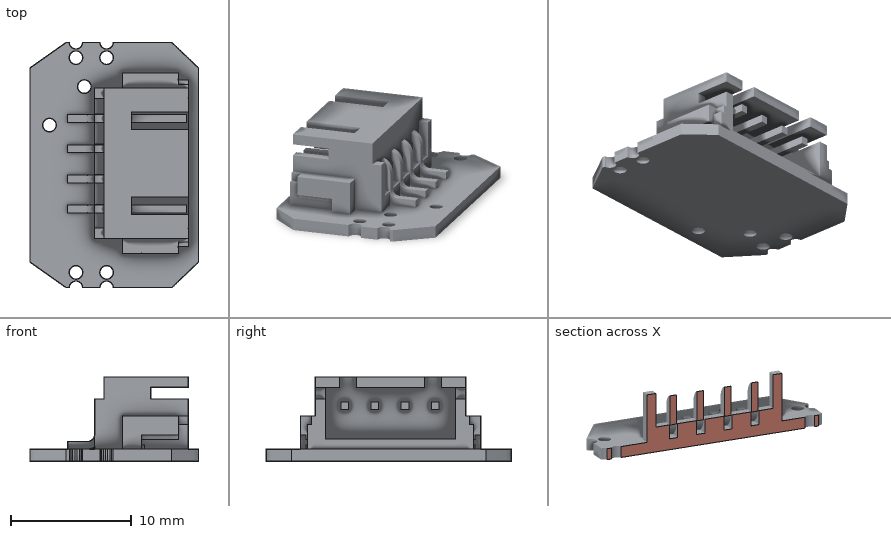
import cadquery as cq

BOARD_LENGTH = 13.97
BOARD_WIDTH = 20.34
BOARD_THICKNESS = 1.0
CORNER_CUT_Y = 2.12
REAR_CORNER_CUT_X = 3.0
FRONT_CORNER_CUT_X = 2.22

HOLE_DIAMETER = 1.1
NOTCH_SIDES = 18
HOLE_SPACING = 1.27
HOLE_COLUMNS_X = (-3.175, -0.635)
SENSE_HOLES = ((-2.48, 6.5), (-5.37, 3.31))

CENTER_Y = 0.15
HOUSING_WIDTH = 12.5
HOUSING_REAR_X = -1.63
WALL_REAR_X = -0.85
HOUSING_FRONT_X = 6.15
HOUSING_TOP_Z = 7.0
POST_TOP_Z = 5.17
POST_WIDTH = 0.87
LEDGE_TOP_Z = 2.22

SIDE_WALL = 0.85
ROOF_THICKNESS = 0.87
FLOOR_THICKNESS = 0.85
CAVITY_REAR_X = 1.42

WINDOW_REAR_X = 3.03
ROOF_SLOT_WIDTH = 1.43
ROOF_SLOT_OFFSET_Y = 3.52

TAB_REAR_X = 0.67
TAB_LEG_END_X = 2.26
TAB_FRONT_X = 5.32
TAB_TOP_Z = 3.76
TAB_ARM_BOTTOM_Z = 2.19
TAB_REACH = 1.23
UPPER_STRIP_REACH = 0.29
LOWER_STRIP_REACH = 0.64
LOWER_STRIP_TOP_Z = 3.06
LIP_REACH = 0.75
LIP_BOTTOM_Z = 1.79
LIP_FOOT_LENGTH = 0.26
LIP_FOOT_TOP_Z = 1.36

PIN_COUNT = 4
PIN_PITCH = 2.5
PIN_SIZE = 0.64
PIN_CENTER_Y = 0.1
PIN_SLOT_WIDTH = 0.7
FOOT_END_X = -3.86
PIN_TIP_X = 5.98
PIN_TOP_Z = 4.92
PIN_INNER_RADIUS = 0.6


def block(x_range, y_range, z_range):
    """Box given by its lower and upper limits along each axis."""
    size = [upper - lower for lower, upper in (x_range, y_range, z_range)]
    corner = (x_range[0], y_range[0], z_range[0])
    return cq.Workplane("XY").box(*size, centered=False).translate(corner)


def make_board():
    half_x = BOARD_LENGTH / 2
    half_y = BOARD_WIDTH / 2
    side_y = half_y - CORNER_CUT_Y
    rear_x = -half_x + REAR_CORNER_CUT_X
    front_x = half_x - FRONT_CORNER_CUT_X
    outline = [
        (-half_x, -side_y),
        (rear_x, -half_y),
        (front_x, -half_y),
        (half_x, -side_y),
        (half_x, side_y),
        (front_x, half_y),
        (rear_x, half_y),
        (-half_x, side_y),
    ]
    holes = list(SENSE_HOLES)
    notches = []
    for x in HOLE_COLUMNS_X:
        for side in (-1, 1):
            notches.append((x, side * half_y))
            holes.append((x, side * (half_y - HOLE_SPACING)))
    board = cq.Workplane("XY").polyline(outline).close().extrude(BOARD_THICKNESS)
    drills = cq.Workplane("XY").pushPoints(holes).circle(HOLE_DIAMETER / 2).extrude(BOARD_THICKNESS)
    notch_cuts = (
        cq.Workplane("XY")
        .pushPoints(notches)
        .polygon(NOTCH_SIDES, HOLE_DIAMETER)
        .extrude(BOARD_THICKNESS)
    )
    return board.cut(drills).cut(notch_cuts)


def pin_centers():
    first = PIN_CENTER_Y - PIN_PITCH * (PIN_COUNT - 1) / 2
    return [first + i * PIN_PITCH for i in range(PIN_COUNT)]


def make_housing():
    half = HOUSING_WIDTH / 2
    y_low = CENTER_Y - half
    y_high = CENTER_Y + half
    roof_z = HOUSING_TOP_Z - ROOF_THICKNESS
    full_y = (y_low, y_high)

    housing = block((WALL_REAR_X, HOUSING_FRONT_X), full_y, (BOARD_THICKNESS, HOUSING_TOP_Z))
    posts = block((HOUSING_REAR_X, WALL_REAR_X), full_y, (BOARD_THICKNESS, POST_TOP_Z))
    post_gap = block(
        (HOUSING_REAR_X, WALL_REAR_X),
        (y_low + POST_WIDTH, y_high - POST_WIDTH),
        (LEDGE_TOP_Z, POST_TOP_Z),
    )
    cavity = block(
        (CAVITY_REAR_X, HOUSING_FRONT_X),
        (y_low + SIDE_WALL, y_high - SIDE_WALL),
        (BOARD_THICKNESS + FLOOR_THICKNESS, roof_z),
    )
    windows = block((WINDOW_REAR_X, HOUSING_FRONT_X), full_y, (POST_TOP_Z, roof_z))
    housing = housing.union(posts.cut(post_gap)).cut(cavity).cut(windows)

    for side in (-1, 1):
        slot_y = CENTER_Y + side * ROOF_SLOT_OFFSET_Y
        slot_range = (slot_y - ROOF_SLOT_WIDTH / 2, slot_y + ROOF_SLOT_WIDTH / 2)
        housing = housing.cut(
            block((CAVITY_REAR_X, HOUSING_FRONT_X), slot_range, (roof_z, HOUSING_TOP_Z))
        )
    for pin_y in pin_centers():
        slot_start = pin_y - PIN_SIZE / 2
        slot_range = (slot_start, slot_start + PIN_SLOT_WIDTH)
        housing = housing.cut(
            block((HOUSING_REAR_X, WALL_REAR_X), slot_range, (BOARD_THICKNESS, LEDGE_TOP_Z))
        )
    return housing


def make_solder_tab():
    """Tab on the -Y side of the housing."""
    side_y = CENTER_Y - HOUSING_WIDTH / 2

    def layer(x_range, reach, z_range):
        return block(x_range, (side_y - reach, side_y), z_range)

    to_front = (TAB_LEG_END_X, HOUSING_FRONT_X)
    arm_x = (TAB_LEG_END_X, TAB_FRONT_X)
    lip_foot_x = (TAB_LEG_END_X, TAB_LEG_END_X + LIP_FOOT_LENGTH)
    tab = layer((TAB_REAR_X, TAB_LEG_END_X), TAB_REACH, (BOARD_THICKNESS, TAB_TOP_Z))
    tab = tab.union(layer(arm_x, TAB_REACH, (TAB_ARM_BOTTOM_Z, TAB_TOP_Z)))
    tab = tab.union(layer(to_front, UPPER_STRIP_REACH, (BOARD_THICKNESS, TAB_TOP_Z)))
    tab = tab.union(layer(to_front, LOWER_STRIP_REACH, (BOARD_THICKNESS, LOWER_STRIP_TOP_Z)))
    tab = tab.union(layer(arm_x, LIP_REACH, (LIP_BOTTOM_Z, TAB_ARM_BOTTOM_Z)))
    return tab.union(layer(lip_foot_x, LIP_REACH, (BOARD_THICKNESS, LIP_FOOT_TOP_Z)))


def make_pin(pin_y):
    """Square wire: foot on the board, riser flush with the housing rear, contact in the cavity."""
    bend = PIN_INNER_RADIUS + PIN_SIZE / 2
    foot_z = BOARD_THICKNESS + PIN_SIZE / 2
    riser_x = HOUSING_REAR_X + PIN_SIZE / 2
    contact_z = PIN_TOP_Z - PIN_SIZE / 2
    path = (
        cq.Workplane("XZ", origin=(0, pin_y, 0))
        .moveTo(FOOT_END_X, foot_z)
        .lineTo(riser_x - bend, foot_z)
        .radiusArc((riser_x, foot_z + bend), -bend)
        .lineTo(riser_x, contact_z - bend)
        .radiusArc((riser_x + bend, contact_z), bend)
        .lineTo(PIN_TIP_X, contact_z)
    )
    section = cq.Workplane("YZ", origin=(FOOT_END_X, pin_y, foot_z)).rect(PIN_SIZE, PIN_SIZE)
    return section.sweep(path)


tab = make_solder_tab()
mirrored_tab = tab.mirror("XZ", (0, CENTER_Y, 0))
result = make_board().union(make_housing()).union(tab).union(mirrored_tab)
for center in pin_centers():
    result = result.union(make_pin(center))